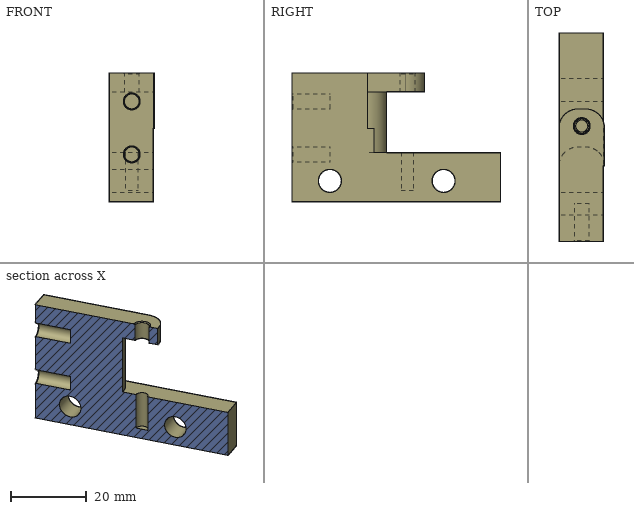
import cadquery as cq

length = 55.0
height = 34.0
body_width = 11.7
arm_width = 12.0

base_height = 13.0
post_length = 19.95
tip_radius = 5.0
post_end = post_length + tip_radius
arm_end = 35.0
arm_thickness = 5.0
proud_depth = 14.65

center_x = arm_width / 2
mount_diameter = 6.0
mount_z = 5.5
mount_ys = (10.0, 40.0)
screw_diameter = 3.9
screw_zs = (12.5, 26.45)
screw_depth = 10.0
hole_chamfer = 0.3
pin_y = 30.45
pin_diameter = 3.2
pin_depth = 10.0


def block(width, y_start, y_end, z_start, z_end):
    """Box with one side on the X = 0 face."""
    size = (width, y_end - y_start, z_end - z_start)
    return cq.Workplane("XY").box(*size, centered=False).translate((0, y_start, z_start))


def rounded_tip(width, y_end, z_start, z_end):
    """Block reaching from the end of the straight post to a tip with two round corners."""
    rounded = block(width, 0, y_end, z_start, z_end).edges("|Z and >Y").fillet(tip_radius)
    return rounded.intersect(block(width, post_length, y_end, z_start, z_end))


def chamfered_hole(point, direction, depth):
    """Screw hole cutter with a small chamfer at its mouth."""
    start = cq.Vector(*point)
    axis = cq.Vector(*direction)
    radius = screw_diameter / 2
    bore = cq.Solid.makeCylinder(radius, depth, start, axis)
    mouth = cq.Solid.makeCone(radius + hole_chamfer, radius, hole_chamfer, start, axis)
    return bore.fuse(mouth)


part = block(body_width, 0, length, 0, base_height)
part = part.union(block(body_width, 0, post_length, 0, height))
lower_post_tip = rounded_tip(arm_width, post_end, base_height, height - proud_depth)
part = part.union(lower_post_tip.intersect(block(body_width, 0, length, 0, height)))
part = part.union(rounded_tip(arm_width, post_end, height - proud_depth, height))
part = part.union(rounded_tip(arm_width, arm_end, height - arm_thickness, height))

for mount_y in mount_ys:
    mount_start = cq.Vector(0, mount_y, mount_z)
    part = part.cut(cq.Solid.makeCylinder(mount_diameter / 2, body_width, mount_start, cq.Vector(1, 0, 0)))

for screw_z in screw_zs:
    part = part.cut(chamfered_hole((center_x, 0, screw_z), (0, 1, 0), screw_depth))

part = part.cut(chamfered_hole((center_x, pin_y, height), (0, 0, -1), arm_thickness))
pin_start = cq.Vector(center_x, pin_y, base_height)
part = part.cut(cq.Solid.makeCylinder(pin_diameter / 2, pin_depth, pin_start, cq.Vector(0, 0, -1)))

result = part